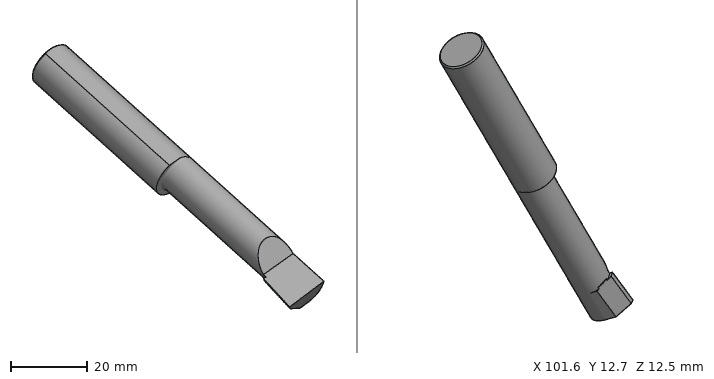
import cadquery as cq
import math

total_length = 101.6

shank_radius = 6.35
shank_length = 49.4
shank_chamfer = 0.4
flat_height = 6.1

neck_radius = 5.44
neck_offset = 1.3
root_fillet = 0.6

ramp_end = 89.1
blade_start = 90.1
blade_start_y = -5.0
tip_y = -6.0
land_height = 1.4
land_angle = 15.0
flank_angle = 45.0
flank_runout = 0.6
end_relief_angle = 8.0
end_plan_angle = 1.5

cutter_size = 3 * shank_radius


def make_shank():
    """Round shank with a chamfered rear end and a clamping flat on top."""
    shank = cq.Workplane("YZ").circle(shank_radius).extrude(shank_length)
    shank = shank.faces("<X").chamfer(shank_chamfer)
    above_flat = (
        cq.Workplane("XY")
        .workplane(offset=flat_height)
        .rect(2 * total_length, cutter_size)
        .extrude(cutter_size)
    )
    return shank.cut(above_flat)


def make_neck():
    """Eccentric neck with a filleted root, trimmed to the shank's envelope."""
    arc_inset = root_fillet * (1 - math.sqrt(0.5))
    neck = (
        cq.Workplane("XY")
        .moveTo(shank_length, 0)
        .lineTo(shank_length, neck_radius + root_fillet)
        .threePointArc(
            (shank_length + arc_inset, neck_radius + arc_inset),
            (shank_length + root_fillet, neck_radius),
        )
        .lineTo(total_length, neck_radius)
        .lineTo(total_length, 0)
        .close()
        .revolve(360, (0, 0, 0), (1, 0, 0))
        .translate((0, neck_offset, 0))
    )
    envelope = cq.Workplane("YZ").circle(shank_radius).extrude(total_length)
    return neck.intersect(envelope)


def make_blade():
    """Side block below the cutting face, widening towards the tip."""
    return (
        cq.Workplane("XY")
        .polyline([
            (blade_start, neck_offset),
            (blade_start, blade_start_y),
            (total_length, tip_y),
            (total_length, neck_offset),
        ])
        .close()
        .extrude(-neck_radius)
    )


def make_flank_cutter():
    """Material outside the relieved land and the steeper flank under the side edge."""
    taper = (tip_y - blade_start_y) / (total_length - blade_start)
    cutter_start = blade_start - flank_runout
    start_y = blade_start_y - taper * flank_runout
    outer_y = start_y - cutter_size
    land_run = land_height * math.tan(math.radians(land_angle))
    depth = cutter_size
    run = depth / math.tan(math.radians(flank_angle))
    length = total_length - cutter_start
    shift = taper * length

    def section(x, y_shift):
        points = [
            (start_y, 0),
            (start_y + land_run, -land_height),
            (start_y + land_run + run, -land_height - depth),
            (outer_y, -land_height - depth),
            (outer_y, 0),
        ]
        return cq.Wire.makePolygon([cq.Vector(x, y + y_shift, z) for y, z in points], close=True)

    wedge = cq.Solid.makeLoft([section(cutter_start, 0), section(total_length, shift)], True)
    return cq.Workplane(obj=wedge)


def make_ramp_cutter():
    """Material above the cutting face and its 45 degree lead-in ramp."""
    return (
        cq.Workplane("XZ")
        .polyline([
            (ramp_end, 0),
            (ramp_end - cutter_size, cutter_size),
            (total_length + cutter_size, cutter_size),
            (total_length + cutter_size, 0),
        ])
        .close()
        .extrude(cutter_size, both=True)
    )


def make_end_cutter():
    """Material in front of the end face, relieved both downwards and away from the tip."""
    relief = cutter_size * math.tan(math.radians(end_relief_angle))
    return (
        cq.Workplane("XZ")
        .polyline([
            (relief, cutter_size),
            (cutter_size, cutter_size),
            (cutter_size, -cutter_size),
            (-relief, -cutter_size),
        ])
        .close()
        .extrude(cutter_size, both=True)
        .rotate((0, 0, 0), (0, 0, 1), end_plan_angle)
        .translate((total_length, tip_y, 0))
    )


head = make_neck().union(make_blade())
head = head.cut(make_flank_cutter())
head = head.cut(make_ramp_cutter())
head = head.cut(make_end_cutter())
result = make_shank().union(head)